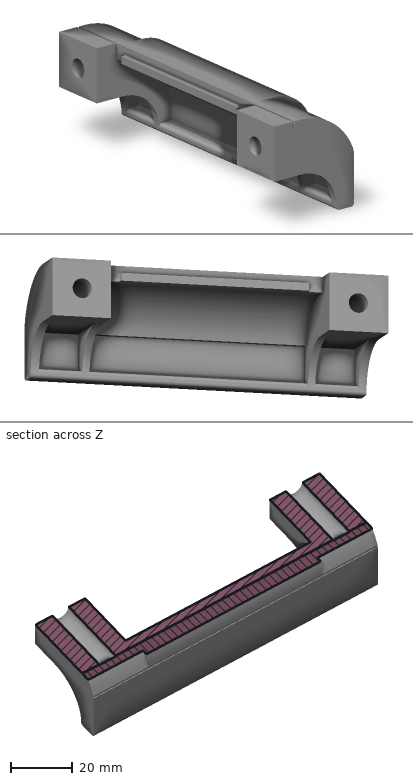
import cadquery as cq
import math

LENGTH = 114.0
DEPTH = 33.0
HEIGHT = 35.0

SEAT_AXIS_Y = 10.7
SEAT_AXIS_Z = 11.4
SEAT_RADIUS = 21.0
SEAT_TOP = SEAT_AXIS_Z + SEAT_RADIUS
LEDGE_Z = 19.0

COVER_THICKNESS = HEIGHT - SEAT_TOP
COVER_FRONT_Y = 8.2
COVER_BACK_Y = 32.7
COVER_RADIUS = SEAT_RADIUS + COVER_THICKNESS
PAD_START_X = 22.0
PAD_LENGTH = LENGTH - 2 * PAD_START_X
PAD_RADIUS = 15.3

BLOCK_WIDTH = 20.0
BLOCK_UNDERSIDE_Z = 15.8
BLOCK_GAP = 0.7
UNDERSIDE_RADIUS = 14.7
LEG_FRONT_Y = 25.9
EDGE_RADIUS = 1.0

SHELL_THICKNESS = 2.6
HOLLOW_RADIUS = SEAT_RADIUS - SHELL_THICKNESS
HOLLOW_TOP_Z = SEAT_AXIS_Z + HOLLOW_RADIUS
WALL_FRONT_Y = 30.4
LIP_FLOOR_Z = 3.1
LIP_EDGE_RADIUS = 1.3
WALL_ROOT_RADIUS = 0.6

POCKET_START_X = 2.8
POCKET_WIDTH = 14.6

TONGUE_START_X = 25.2
TONGUE_FRONT_Y = 6.2
TONGUE_ROOT_RADIUS = 1.5

HOLE_DIAMETER = 6.5
HOLE_X = 10.1
HOLE_Z = 25.3


def rise(run, radius):
    """Height of a circle above its axis at a horizontal distance from it."""
    return math.sqrt(radius**2 - run**2)


def point_on_arc(axis_y, axis_z, radius, angle):
    """Point at an angle in radians, measured from +Y towards +Z."""
    return axis_y + radius * math.cos(angle), axis_z + radius * math.sin(angle)


def arc_middle(axis_y, axis_z, start, end):
    """Point halfway along the arc between two points around an axis."""
    start_angle = math.atan2(start[1] - axis_z, start[0] - axis_y)
    end_angle = math.atan2(end[1] - axis_z, end[0] - axis_y)
    radius = math.hypot(start[0] - axis_y, start[1] - axis_z)
    return point_on_arc(axis_y, axis_z, radius, (start_angle + end_angle) / 2)


def profile_at(x):
    """Sketch plane in Y and Z, extruding towards +X."""
    return cq.Workplane("YZ", origin=(x, 0, 0))


SEAT_BACK = (SEAT_AXIS_Y + rise(LEDGE_Z - SEAT_AXIS_Z, SEAT_RADIUS), LEDGE_Z)
SEAT_FRONT = (SEAT_AXIS_Y, SEAT_TOP)
SEAT_MIDDLE = arc_middle(SEAT_AXIS_Y, SEAT_AXIS_Z, SEAT_BACK, SEAT_FRONT)


def make_end_profile_bar():
    """Full-length bar with the seat, the groove wall and the arched underside."""
    arch_axis_y = LEG_FRONT_Y - UNDERSIDE_RADIUS
    arch_axis_z = BLOCK_UNDERSIDE_Z - UNDERSIDE_RADIUS
    arch_middle = point_on_arc(arch_axis_y, arch_axis_z, UNDERSIDE_RADIUS, math.pi / 4)
    block_back_y = COVER_FRONT_Y - BLOCK_GAP
    bar = (
        profile_at(0)
        .moveTo(0, BLOCK_UNDERSIDE_Z)
        .lineTo(arch_axis_y, BLOCK_UNDERSIDE_Z)
        .threePointArc(arch_middle, (LEG_FRONT_Y, arch_axis_z))
        .lineTo(LEG_FRONT_Y, 0)
        .lineTo(DEPTH, 0)
        .lineTo(DEPTH, LEDGE_Z)
        .lineTo(*SEAT_BACK)
        .threePointArc(SEAT_MIDDLE, SEAT_FRONT)
        .lineTo(block_back_y, SEAT_TOP)
        .lineTo(block_back_y, HEIGHT)
        .lineTo(0, HEIGHT)
        .close()
        .extrude(LENGTH)
    )
    return bar.faces("<Z").edges("|X").fillet(EDGE_RADIUS)


def make_front_clearance():
    """Space in front of the shell edge, between the two blocks."""
    return cq.Workplane("XY").box(
        LENGTH - 2 * BLOCK_WIDTH, COVER_FRONT_Y, HEIGHT, centered=False
    ).translate((BLOCK_WIDTH, 0, 0))


def start_lip_outline(start_x):
    """Open outline along the rounded lip and up the foot of the back wall."""
    lip_front_z = LIP_FLOOR_Z - LIP_EDGE_RADIUS
    wall_root = (WALL_FRONT_Y, LIP_FLOOR_Z + WALL_ROOT_RADIUS)
    return (
        profile_at(start_x)
        .moveTo(0, lip_front_z)
        .lineTo(LEG_FRONT_Y, lip_front_z)
        .radiusArc((LEG_FRONT_Y + LIP_EDGE_RADIUS, LIP_FLOOR_Z), LIP_EDGE_RADIUS)
        .lineTo(WALL_FRONT_Y - WALL_ROOT_RADIUS, LIP_FLOOR_Z)
        .radiusArc(wall_root, -WALL_ROOT_RADIUS)
        .lineTo(WALL_FRONT_Y, BLOCK_UNDERSIDE_Z)
    )


def make_hollow():
    """Hollow concentric with the seat, under the shell, with a ledge above its back wall and a lip below."""
    arc_start_y = SEAT_AXIS_Y + rise(BLOCK_UNDERSIDE_Z - SEAT_AXIS_Z, HOLLOW_RADIUS)
    arc_start = (arc_start_y, BLOCK_UNDERSIDE_Z)
    arc_end = (SEAT_AXIS_Y, HOLLOW_TOP_Z)
    return (
        start_lip_outline(BLOCK_WIDTH)
        .lineTo(*arc_start)
        .threePointArc(arc_middle(SEAT_AXIS_Y, SEAT_AXIS_Z, arc_start, arc_end), arc_end)
        .lineTo(0, HOLLOW_TOP_Z)
        .close()
        .extrude(LENGTH - 2 * BLOCK_WIDTH)
    )


def make_pocket(start_x):
    """Pocket between the two ribs below a block, level with its underside."""
    return (
        start_lip_outline(start_x)
        .lineTo(0, BLOCK_UNDERSIDE_Z)
        .close()
        .extrude(POCKET_WIDTH)
    )


def make_tongue():
    """Front tongue that flares into the shell edge with concave corners."""
    end_x = LENGTH - TONGUE_START_X
    flare_y = COVER_FRONT_Y - TONGUE_ROOT_RADIUS
    return (
        cq.Workplane("XY", origin=(0, 0, HOLLOW_TOP_Z))
        .moveTo(TONGUE_START_X, TONGUE_FRONT_Y)
        .lineTo(end_x, TONGUE_FRONT_Y)
        .lineTo(end_x, flare_y)
        .radiusArc((end_x + TONGUE_ROOT_RADIUS, COVER_FRONT_Y), TONGUE_ROOT_RADIUS)
        .lineTo(TONGUE_START_X - TONGUE_ROOT_RADIUS, COVER_FRONT_Y)
        .radiusArc((TONGUE_START_X, flare_y), TONGUE_ROOT_RADIUS)
        .close()
        .extrude(SEAT_TOP - HOLLOW_TOP_Z)
    )


def make_mounting_hole(x):
    """Hole from the front face through the body to the cover seat."""
    return (
        cq.Workplane("XZ", origin=(x, 0, HOLE_Z))
        .circle(HOLE_DIAMETER / 2)
        .extrude(-DEPTH)
    )


def make_body():
    """Handle body with two mounting blocks joined by a hollow shell."""
    body = make_end_profile_bar().cut(make_front_clearance()).cut(make_hollow())
    for start_x in (POCKET_START_X, LENGTH - POCKET_START_X - POCKET_WIDTH):
        body = body.cut(make_pocket(start_x))
    for x in (HOLE_X, LENGTH - HOLE_X):
        body = body.cut(make_mounting_hole(x))
    return body.union(make_tongue())


def make_cover_shell():
    """Full-length curved shell resting on the seat and its ledge."""
    outer_back = (COVER_BACK_Y, SEAT_AXIS_Z + rise(COVER_BACK_Y - SEAT_AXIS_Y, COVER_RADIUS))
    outer_front = (SEAT_AXIS_Y, HEIGHT)
    return (
        profile_at(0)
        .moveTo(*SEAT_BACK)
        .lineTo(COVER_BACK_Y, LEDGE_Z)
        .lineTo(*outer_back)
        .threePointArc(arc_middle(SEAT_AXIS_Y, SEAT_AXIS_Z, outer_back, outer_front), outer_front)
        .lineTo(COVER_FRONT_Y, HEIGHT)
        .lineTo(COVER_FRONT_Y, SEAT_TOP)
        .lineTo(*SEAT_FRONT)
        .threePointArc(SEAT_MIDDLE, SEAT_BACK)
        .close()
        .extrude(LENGTH)
    )


def make_cover_pad():
    """Raised centre pad with a rounded back and a flat top."""
    axis_y = COVER_BACK_Y - PAD_RADIUS
    axis_z = HEIGHT - PAD_RADIUS
    pad_middle = point_on_arc(axis_y, axis_z, PAD_RADIUS, math.pi / 4)
    return (
        profile_at(PAD_START_X)
        .moveTo(*SEAT_BACK)
        .lineTo(COVER_BACK_Y, LEDGE_Z)
        .lineTo(COVER_BACK_Y, axis_z)
        .threePointArc(pad_middle, (axis_y, HEIGHT))
        .lineTo(SEAT_AXIS_Y, HEIGHT)
        .lineTo(*SEAT_FRONT)
        .threePointArc(SEAT_MIDDLE, SEAT_BACK)
        .close()
        .extrude(PAD_LENGTH)
    )


body = make_body()
cover = make_cover_shell().union(make_cover_pad())

result = cq.Compound.makeCompound([body.val(), cover.val()])